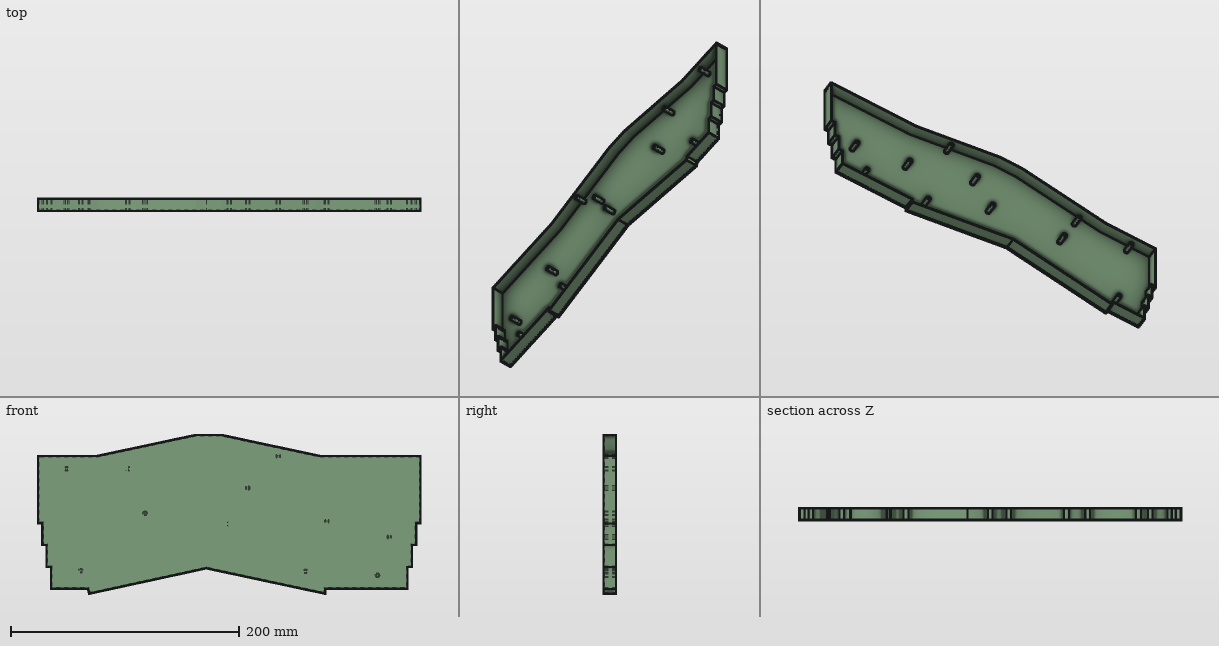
import cadquery as cq

length = 335.5
thickness = 11.0
height = 139.2
left = -length / 2
right = length / 2
top = height / 2
bottom = -height / 2
back_y = thickness / 2

wall = 1.0

shoulder_z = top - 18.5
crest_left_x = -29.5
crest_right_x = -6.7
slope_run = 86.5

base_z = bottom + 4.5
valley_x = -20.0
valley_z = -47.3
left_foot_x = -123.8
left_foot_taper = 1.0
right_foot_x = 84.2

step_count = 3
step_width = 3.4 / step_count
step_height = 19.0

boss_diameter = 4.0
boss_hole_diameter = 2.08
boss_height = thickness - wall
boss_centers = [
    (-142.5, 40.0),
    (-130.0, -49.3),
    (-89.0, 40.0),
    (-73.8, 1.0),
    (0.0, -8.5),
    (16.0, 23.0),
    (43.0, 51.0),
    (66.7, -50.0),
    (85.5, -6.0),
    (129.8, -53.3),
    (140.2, -19.8),
]


def stepped_end(end_x, inward):
    """Corner points of one end from the base up; inward is the X sign toward the middle."""
    points = []
    for level in range(step_count):
        step_x = end_x + inward * (step_count - level) * step_width
        step_z = base_z + level * step_height
        points.append((step_x, step_z))
        points.append((step_x, step_z + step_height))
    points.append((end_x, base_z + step_count * step_height))
    points.append((end_x, shoulder_z))
    return points


def plate_outline():
    """Closed outline in X and Z, counter-clockwise from the left foot."""
    lower_edge = [
        (left_foot_x, base_z),
        (left_foot_x + left_foot_taper, bottom),
        (valley_x, valley_z),
        (right_foot_x, bottom),
        (right_foot_x, base_z),
    ]
    upper_edge = [
        (crest_right_x + slope_run, shoulder_z),
        (crest_right_x, top),
        (crest_left_x, top),
        (crest_left_x - slope_run, shoulder_z),
    ]
    right_end = stepped_end(right, -3.5)
    left_end = stepped_end(left, 3.5)
    left_end.reverse()
    return lower_edge + right_end + upper_edge + left_end


def hollow_plate():
    """Solid plate emptied through its back face."""
    plate = cq.Workplane("XZ").polyline(plate_outline()).close().extrude(thickness / 2, both=True)
    return plate.faces(">Y").shell(-wall, kind="intersection")


def screw_bosses():
    """Tubes running forward from the open back to the front skin."""
    return (
        cq.Workplane("XZ", origin=(0, back_y, 0))
        .pushPoints(boss_centers)
        .circle(boss_diameter / 2)
        .circle(boss_hole_diameter / 2)
        .extrude(boss_height)
    )


result = hollow_plate().union(screw_bosses())